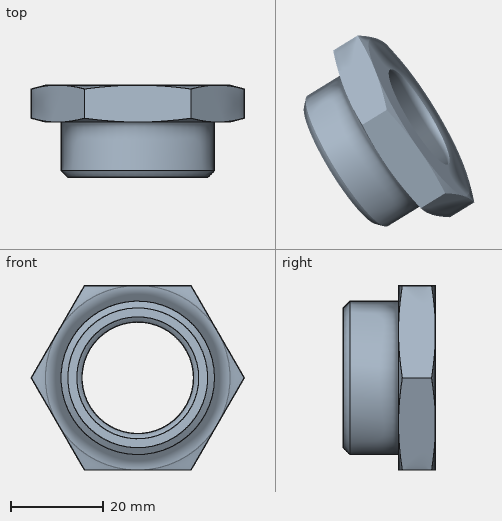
import cadquery as cq
import math

across_corners = 46.2
across_flats = across_corners * math.cos(math.radians(30))
head_length = 8.0
head_chamfer_angle = 15.0

spigot_diameter = 33.25
spigot_length = 12.0
spigot_chamfer = 1.5
bore_diameter = 24.1
bore_chamfer = 1.15


def revolve_about_y(profile_points):
    """Revolve a closed (radius, y) profile around the Y axis."""
    profile = cq.Workplane("XY").polyline(profile_points).close()
    return profile.revolve(360, (0, 0, 0), (0, 1, 0))


def make_head():
    """Hexagon from y = 0 to head_length, corners on X, both faces chamfered."""
    hexagon = cq.Workplane("XZ").polygon(6, across_corners).extrude(-head_length)
    face_radius = across_flats / 2
    corner_radius = across_corners / 2
    chamfer_length = (corner_radius - face_radius) * math.tan(math.radians(head_chamfer_angle))
    envelope = revolve_about_y([
        (0, 0),
        (face_radius, 0),
        (corner_radius, chamfer_length),
        (corner_radius, head_length - chamfer_length),
        (face_radius, head_length),
        (0, head_length),
    ])
    return hexagon.intersect(envelope)


def make_spigot():
    """Cylinder projecting toward -Y with a chamfered free end."""
    spigot = cq.Workplane("XZ").circle(spigot_diameter / 2).extrude(spigot_length)
    return spigot.faces("<Y").edges().chamfer(spigot_chamfer)


def make_bore():
    """Through bore, widened by a chamfer at the spigot end."""
    bore_radius = bore_diameter / 2
    return revolve_about_y([
        (0, -spigot_length),
        (bore_radius + bore_chamfer, -spigot_length),
        (bore_radius, -spigot_length + bore_chamfer),
        (bore_radius, head_length),
        (0, head_length),
    ])


result = make_head().union(make_spigot()).cut(make_bore())